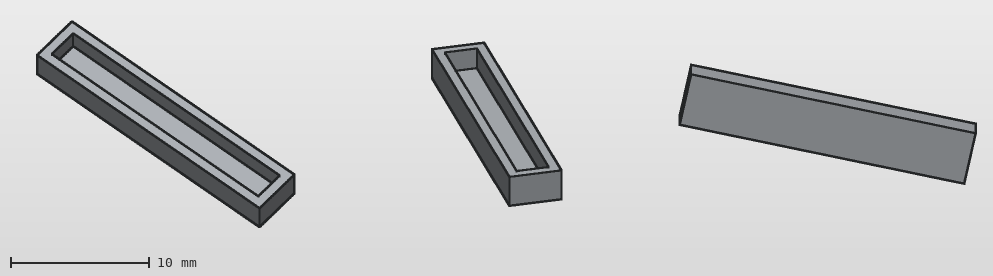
import cadquery as cq

length = 21.0
width = 3.9
height = 2.35

wall = 0.75

body = cq.Workplane("XY").box(length, width, height, centered=(True, True, False))

pocket = (
    cq.Workplane("XY")
    .workplane(offset=wall)
    .rect(length - 2 * wall, width - 2 * wall)
    .extrude(height - wall)
)

result = body.cut(pocket)